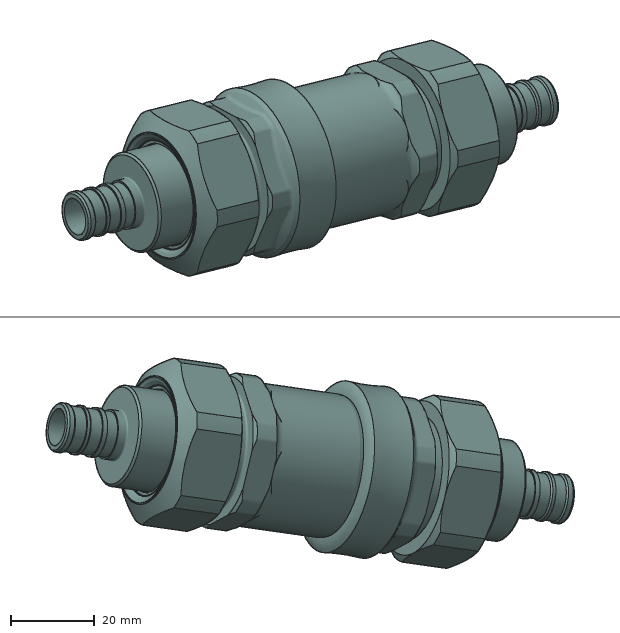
import cadquery as cq
import math


TOTAL_LENGTH = 135.8
HALF_LENGTH = TOTAL_LENGTH / 2
BEVEL_ANGLE = math.radians(30)
BEVEL_SLOPE = math.tan(BEVEL_ANGLE)
SELECT_MARGIN = 0.1

TAIL_BORE_DIA = 9.0
STEM_DIA = 11.1
RIB_DIA = 12.0
RIB_WIDTH = 1.2
RIB_BEVEL = 0.4
TIP_CHAMFER = 0.5
TIP_RIB_END = 65.7
RIB_2_END = 61.5
RIB_3_END = 57.3
ROOT_TOP = 54.5
ROOT_FILLET = 0.4
TAIL_COLLAR_DIA = 24.5
TAIL_COLLAR_TOP = 51.9
TAIL_COLLAR_CHAMFER = 0.5
TAIL_FLANGE_DIA = 28.2
TAIL_FLANGE_THICKNESS = 2.7

NUT_FLATS = 37.2
NUT_CORNER_DIA = 40.7
NUT_INNER_END = 27.7
NUT_OUTER_END = 43.7
NUT_FACE_DIA = 31.0
NUT_CHAMFER_LENGTH = 2.7
NUT_LAND = 0.3
NUT_LIP_DIA = 30.3
NUT_LIP_DEPTH = 0.4
NUT_MOUTH_DIA = 28.5
NUT_MOUTH_FLOOR_DIA = 26.9
NUT_MOUTH_DEPTH = 1.1
NUT_STEP_DIA = 26.5
NUT_STEP_DEPTH = 1.4
NUT_HOLE_DIA = 25.0

BODY_BORE_DIA = 20.1
NECK_DIA = 30.0
NECK_END = 35.3
NECK_FILLET = 0.5
HEX_FLATS = 34.6
HEX_CORNER_DIA = 37.9
HEX_CORNER_BLEND = 1.6
HEX_FACE = 24.5
HEX_FACE_DIA = 35.8
SLEEVE_DIA = 34.6
UPPER_HEX_END = 17.6
SHOULDER_BLEND_LENGTH = 1.4
SHOULDER_TAPER = 31
SLEEVE_END = -4.6
GROOVE_DIA = 34.2
GROOVE_BOTTOM = -5.5
COLLAR_DIA = 41.4
COLLAR_WAIST_DIA = 40.9
COLLAR_TOP = -6.0
COLLAR_TOP_DIA = 39.1
COLLAR_RIM_TOP = -6.7
COLLAR_BASE = -17.1
COLLAR_BASE_ROUND = 0.8
CONE_END = -19.4
CONE_BLEND = 1.2


def turned(points):
    """Solid turned about the Y axis from (radius, y) points."""
    return cq.Workplane("XY").polyline(points).close().revolve(360, (0, 0, 0), (0, 1, 0))


def cylinder(diameter, start, end):
    return cq.Workplane("XZ", origin=(0, end, 0)).circle(diameter / 2).extrude(end - start)


def hexagon_outline(flats, end):
    """Hexagon at the given Y with corners on X and flats facing +Z and -Z."""
    plane = cq.Workplane("XZ", origin=(0, end, 0)).transformed(rotate=(0, 0, 30))
    return plane.polygon(6, flats, circumscribed=True)


def hexagon(flats, start, end):
    return hexagon_outline(flats, end).extrude(end - start)


def edges_between(shape, start, end):
    """Edges that lie wholly between two Y positions."""
    reach = COLLAR_DIA
    box = cq.selectors.BoxSelector((-reach, start, -reach), (reach, end, reach), boundingbox=True)
    return shape.edges(box)


def smallest_circle_at(shape, position):
    """Innermost circular edge at one Y position."""
    edges = edges_between(shape, position - SELECT_MARGIN, position + SELECT_MARGIN)
    return edges.edges(cq.selectors.RadiusNthSelector(0))


def make_nut():
    corner_r = NUT_CORNER_DIA / 2
    face_r = NUT_FACE_DIA / 2
    flat_r = NUT_FLATS / 2
    chamfer_top = NUT_OUTER_END - NUT_LAND
    envelope = turned([
        (0, NUT_INNER_END),
        (flat_r, NUT_INNER_END),
        (corner_r, NUT_INNER_END + (corner_r - flat_r) * BEVEL_SLOPE),
        (corner_r, chamfer_top - NUT_CHAMFER_LENGTH),
        (face_r, chamfer_top),
        (face_r, NUT_OUTER_END),
        (0, NUT_OUTER_END),
    ])
    flange_top = NECK_END + TAIL_FLANGE_THICKNESS
    step_floor = NUT_OUTER_END - NUT_STEP_DEPTH
    mouth_floor = NUT_OUTER_END - NUT_MOUTH_DEPTH
    bore = turned([
        (0, NUT_INNER_END),
        (NECK_DIA / 2, NUT_INNER_END),
        (NECK_DIA / 2, flange_top),
        (NUT_HOLE_DIA / 2, flange_top),
        (NUT_HOLE_DIA / 2, step_floor),
        (NUT_STEP_DIA / 2, step_floor),
        (NUT_STEP_DIA / 2, mouth_floor),
        (NUT_MOUTH_FLOOR_DIA / 2, mouth_floor),
        (NUT_MOUTH_DIA / 2, NUT_OUTER_END - NUT_LIP_DEPTH),
        (NUT_LIP_DIA / 2, NUT_OUTER_END),
        (0, NUT_OUTER_END),
    ])
    return hexagon(NUT_FLATS, NUT_INNER_END, NUT_OUTER_END).intersect(envelope).cut(bore)


def make_tail():
    bore_r = TAIL_BORE_DIA / 2
    stem_r = STEM_DIA / 2
    rib_r = RIB_DIA / 2
    collar_r = TAIL_COLLAR_DIA / 2
    flange_r = TAIL_FLANGE_DIA / 2
    flange_top = NECK_END + TAIL_FLANGE_THICKNESS
    tail = turned([
        (bore_r, HALF_LENGTH),
        (stem_r, HALF_LENGTH),
        (rib_r, HALF_LENGTH - TIP_CHAMFER),
        (rib_r, TIP_RIB_END + RIB_BEVEL),
        (stem_r, TIP_RIB_END),
        (stem_r, RIB_2_END + RIB_WIDTH),
        (rib_r, RIB_2_END + RIB_WIDTH),
        (rib_r, RIB_2_END + RIB_BEVEL),
        (stem_r, RIB_2_END),
        (stem_r, RIB_3_END + RIB_WIDTH),
        (rib_r, RIB_3_END + RIB_WIDTH),
        (rib_r, RIB_3_END),
        (stem_r, RIB_3_END),
        (stem_r, ROOT_TOP),
        (rib_r, ROOT_TOP),
        (rib_r, TAIL_COLLAR_TOP),
        (collar_r - TAIL_COLLAR_CHAMFER, TAIL_COLLAR_TOP),
        (collar_r, TAIL_COLLAR_TOP - TAIL_COLLAR_CHAMFER),
        (collar_r, flange_top),
        (flange_r, flange_top),
        (flange_r, NECK_END),
        (bore_r, NECK_END),
    ])
    return smallest_circle_at(tail, TAIL_COLLAR_TOP).fillet(ROOT_FILLET)


def blended_hexagon(start, end):
    """Body hexagon with turned corners that blend into the flats."""
    prism = hexagon(HEX_FLATS, start, end).intersect(cylinder(HEX_CORNER_DIA, start, end))
    return prism.edges("|Y").fillet(HEX_CORNER_BLEND)


def make_upper_hexagon():
    """Hexagon bevelled on both ends, its corners running into the sleeve with a concave blend."""
    corner_r = HEX_CORNER_DIA / 2
    face_r = HEX_FACE_DIA / 2
    sleeve_r = SLEEVE_DIA / 2
    blend_end = UPPER_HEX_END - SHOULDER_BLEND_LENGTH
    blend_r = SHOULDER_BLEND_LENGTH / BEVEL_SLOPE
    blend_mid = (
        sleeve_r + blend_r * (1 - math.cos(BEVEL_ANGLE)),
        blend_end + blend_r * math.sin(BEVEL_ANGLE),
    )
    bevel_start = (
        sleeve_r + SHOULDER_BLEND_LENGTH * math.cos(BEVEL_ANGLE),
        UPPER_HEX_END + SHOULDER_BLEND_LENGTH * math.sin(BEVEL_ANGLE),
    )
    envelope = (
        cq.Workplane("XY")
        .moveTo(0, blend_end)
        .lineTo(sleeve_r, blend_end)
        .threePointArc(blend_mid, bevel_start)
        .lineTo(corner_r, UPPER_HEX_END + (corner_r - sleeve_r) * BEVEL_SLOPE)
        .lineTo(corner_r, HEX_FACE - (corner_r - face_r) * BEVEL_SLOPE)
        .lineTo(face_r, HEX_FACE)
        .lineTo(0, HEX_FACE)
        .close()
        .revolve(360, (0, 0, 0), (0, 1, 0))
    )
    taper = hexagon_outline(HEX_FLATS, UPPER_HEX_END).extrude(SHOULDER_BLEND_LENGTH, taper=SHOULDER_TAPER)
    return blended_hexagon(UPPER_HEX_END, HEX_FACE).union(taper).intersect(envelope)


def make_lower_hexagon():
    corner_r = HEX_CORNER_DIA / 2
    face_r = HEX_FACE_DIA / 2
    envelope = turned([
        (0, COLLAR_BASE),
        (corner_r, COLLAR_BASE),
        (corner_r, -HEX_FACE + (corner_r - face_r) * BEVEL_SLOPE),
        (face_r, -HEX_FACE),
        (0, -HEX_FACE),
    ])
    return blended_hexagon(-HEX_FACE, COLLAR_BASE).intersect(envelope)


def make_collar():
    """Collar with a slightly hollow rim and a cone at its base."""
    sleeve_r = SLEEVE_DIA / 2
    collar_r = COLLAR_DIA / 2
    rim_middle = (COLLAR_RIM_TOP + COLLAR_BASE) / 2
    cone_r = collar_r - COLLAR_BASE_ROUND
    return (
        cq.Workplane("XY")
        .moveTo(0, GROOVE_BOTTOM)
        .lineTo(GROOVE_DIA / 2, GROOVE_BOTTOM)
        .threePointArc((COLLAR_TOP_DIA / 2, COLLAR_TOP), (collar_r, COLLAR_RIM_TOP))
        .threePointArc((COLLAR_WAIST_DIA / 2, rim_middle), (collar_r, COLLAR_BASE))
        .lineTo(cone_r, CONE_END + (cone_r - sleeve_r) * BEVEL_SLOPE)
        .lineTo(sleeve_r, CONE_END)
        .lineTo(0, CONE_END)
        .close()
        .revolve(360, (0, 0, 0), (0, 1, 0))
    )


def make_sleeve():
    sleeve_r = SLEEVE_DIA / 2
    return turned([
        (0, UPPER_HEX_END),
        (sleeve_r, UPPER_HEX_END),
        (sleeve_r, SLEEVE_END),
        (GROOVE_DIA / 2, GROOVE_BOTTOM),
        (0, GROOVE_BOTTOM),
    ])


def make_body():
    collar = make_collar().union(make_lower_hexagon())
    corner_rise = (HEX_CORNER_DIA - SLEEVE_DIA) / 2 * BEVEL_SLOPE
    hexagon_root = edges_between(collar, CONE_END - SELECT_MARGIN, CONE_END + corner_rise + SELECT_MARGIN)
    collar = hexagon_root.fillet(CONE_BLEND)
    body = collar.union(make_sleeve()).union(make_upper_hexagon())
    body = body.union(cylinder(NECK_DIA, -NECK_END, NECK_END))
    for face in (-HEX_FACE, HEX_FACE):
        body = smallest_circle_at(body, face).fillet(NECK_FILLET)
    return body.cut(cylinder(BODY_BORE_DIA, -NECK_END, NECK_END))


body = make_body()
tail = make_tail()
nut = make_nut()
tails = [tail, tail.mirror("XZ")]
nuts = [nut, nut.mirror("XZ")]
result = cq.Compound.makeCompound([piece.val() for piece in [body, *tails, *nuts]])